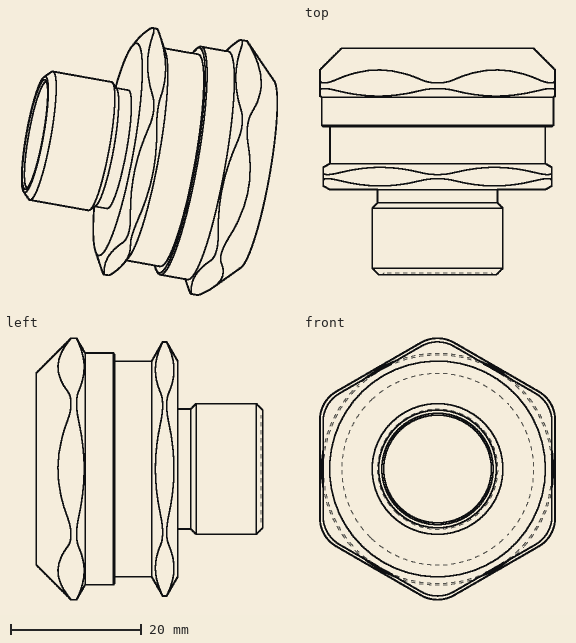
import cadquery as cq
import math

cap_across_flats = 36.0
cap_across_corners = 40.0
nut_across_flats = 35.0
flats_to_corners = 2 / math.sqrt(3)
corner_drop = flats_to_corners - 1
corner_radius = (cap_across_flats * flats_to_corners - cap_across_corners) / 2 / corner_drop

body_radius = 33.0 / 2
collar_radius = 35.5 / 2
stem_radius = 20.0 / 2
neck_radius = 18.4 / 2
cap_end_radius = 14.7
recess_radius = 8.25

stem_end = 11.0
nut_front = 13.0
nut_back = 17.0
collar_front = 22.65
cap_front = 27.17
cap_back = 34.65

tip_chamfer = 1.0
collar_chamfer = 0.25
recess_depth = 0.3
hex_bevel_angle = 30.0
cap_bevel_angle = 45.0


def turned(profile):
    """Revolve a closed (radius, y) outline about the Y axis."""
    return cq.Workplane("XY").polyline(profile).close().revolve(360, (0, 0, 0), (0, 1, 0))


def rounded_hex(across_flats, y_front, y_back):
    """Hexagonal prism along Y with rounded corners up and down and flats facing +X and -X."""
    return (
        cq.Workplane("XZ", origin=(0, y_back, 0))
        .transformed(rotate=(0, 0, 90))
        .polygon(6, across_flats * flats_to_corners)
        .extrude(y_back - y_front)
        .edges("|Y")
        .fillet(corner_radius)
    )


def beveled_hex(across_flats, y_front, y_back, front_radius, back_radius, back_angle):
    """Rounded hexagon with conical bevels that start at the given end-face radii."""
    front_slope = math.tan(math.radians(hex_bevel_angle))
    back_slope = math.tan(math.radians(back_angle))
    depth = y_back - y_front
    apex_radius = (depth + front_slope * front_radius + back_slope * back_radius) / (front_slope + back_slope)
    envelope = turned([
        (0, y_front),
        (front_radius, y_front),
        (apex_radius, y_front + front_slope * (apex_radius - front_radius)),
        (back_radius, y_back),
        (0, y_back),
    ])
    return rounded_hex(across_flats, y_front, y_back).intersect(envelope)


neck_chamfer = stem_radius - neck_radius
core = turned([
    (0, 0),
    (stem_radius - tip_chamfer, 0),
    (stem_radius, tip_chamfer),
    (stem_radius, stem_end - neck_chamfer),
    (neck_radius, stem_end),
    (neck_radius, nut_front),
    (body_radius, nut_front),
    (body_radius, collar_front),
    (collar_radius - collar_chamfer, collar_front),
    (collar_radius, collar_front + collar_chamfer),
    (collar_radius, cap_front),
    (0, cap_front),
])

nut = beveled_hex(nut_across_flats, nut_front, nut_back, body_radius, body_radius, hex_bevel_angle)
cap = beveled_hex(cap_across_flats, cap_front, cap_back, collar_radius, cap_end_radius, cap_bevel_angle)

recess = turned([
    (0, 0),
    (recess_radius + recess_depth, 0),
    (recess_radius, recess_depth),
    (0, recess_depth),
])

result = core.union(nut).union(cap).cut(recess)